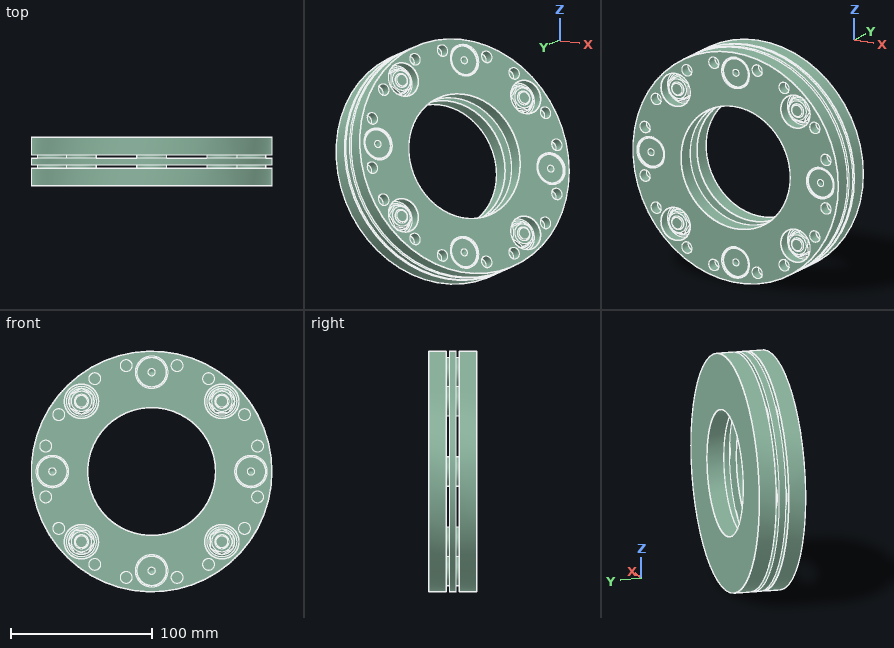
import cadquery as cq
import math

OUTER_DIA = 170.0
TOTAL_DEPTH = 34.3
MIDDLE_THICK = 5.0
GAP = 2.0
PLATE_THICK = (TOTAL_DEPTH - MIDDLE_THICK - 2 * GAP) / 2
PLATE_BORE = 90.0
EDGE_CHAMFER = 0.25
MIDDLE_BORE = 110.0

STATION_RADIUS = 70.0
STATION_COUNT = 4
STATION_STEP = 360.0 / STATION_COUNT
PIN_START_ANGLE = 0.0
BOLT_START_ANGLE = 45.0
PIN_DIA = 21.0

SEAT_DIA = 23.0
PIN_RECESS = 0.5
GROOVE_DEPTH = 1.5
CENTRE_MARK_DIA = 5.1
CENTRE_MARK_DEPTH = 1.0

POCKET_DIA = 24.0
POCKET_DEPTH = 8.8
WASHER_BASE_DIA = PIN_DIA
WASHER_TOP_DIA = 18.2
WASHER_HEIGHT = 0.8
NUT_SIDES = 6
NUT_FLATS = 16.0
NUT_FACE_DIA = 14.3
NUT_HEIGHT = 5.0
NUT_CHAMFER_ANGLE = 30.0
STUD_DIA = 10.0
STUD_TIP_DIA = 8.3
STUD_PROJECTION = 1.0

BLIND_HOLE_DIA = 8.3
BLIND_HOLE_DEPTH = 8.5
BLIND_HOLE_RADIUS = 76.8
BLIND_HOLE_SPREAD = 13.5

FRONT_Y = -TOTAL_DEPTH / 2
POCKET_FLOOR_Y = FRONT_Y + POCKET_DEPTH


def cylinder(dia, y_start, length):
    """Cylinder on the Y axis, growing toward +Y."""
    return cq.Workplane("XZ", origin=(0, y_start, 0)).circle(dia / 2).extrude(-length)


def cone(start_dia, end_dia, y_start, length):
    """Cone or frustum on the Y axis, growing toward +Y."""
    base = cq.Vector(0, y_start, 0)
    solid = cq.Solid.makeCone(start_dia / 2, end_dia / 2, length, base, cq.Vector(0, 1, 0))
    return cq.Workplane("XY").newObject([solid])


def ring(outer_dia, inner_dia, y_start, length):
    return cylinder(outer_dia, y_start, length).cut(cylinder(inner_dia, y_start, length))


def place(feature, radius, angle):
    """Move a feature off the Y axis to a polar position, turning it with the angle."""
    return feature.translate((radius, 0, 0)).rotate((0, 0, 0), (0, 1, 0), -angle)


def place_around(feature, radius, start_angle):
    copies = [place(feature, radius, start_angle + i * STATION_STEP) for i in range(STATION_COUNT)]
    combined = copies[0]
    for copy in copies[1:]:
        combined = combined.union(copy)
    return combined


def ring_stack():
    plate = ring(OUTER_DIA, PLATE_BORE, FRONT_Y, PLATE_THICK).edges("%CIRCLE").chamfer(EDGE_CHAMFER)
    back_plate = plate.mirror("XZ")
    middle = ring(OUTER_DIA, MIDDLE_BORE, -MIDDLE_THICK / 2, MIDDLE_THICK)
    spacer = cylinder(PIN_DIA, -MIDDLE_THICK / 2 - GAP, MIDDLE_THICK + 2 * GAP)
    stack = plate.union(back_plate).union(middle)
    for start_angle in (PIN_START_ANGLE, BOLT_START_ANGLE):
        stack = stack.union(place_around(spacer, STATION_RADIUS, start_angle))
    return stack


def pin_recess():
    pin_top = FRONT_Y + PIN_RECESS
    seat = cylinder(SEAT_DIA, FRONT_Y, GROOVE_DEPTH)
    head = cylinder(PIN_DIA, pin_top, GROOVE_DEPTH - PIN_RECESS).faces("<Y").chamfer(EDGE_CHAMFER)
    return seat.cut(head).union(cone(CENTRE_MARK_DIA, 0, pin_top, CENTRE_MARK_DEPTH))


def bolt_pocket():
    mouth = cone(POCKET_DIA + 2 * EDGE_CHAMFER, POCKET_DIA, FRONT_Y, EDGE_CHAMFER)
    return cylinder(POCKET_DIA, FRONT_Y, POCKET_DEPTH).union(mouth)


def bolt():
    washer_top = POCKET_FLOOR_Y - WASHER_HEIGHT
    nut_top = washer_top - NUT_HEIGHT
    stud_top = nut_top - STUD_PROJECTION

    washer = cone(WASHER_TOP_DIA, WASHER_BASE_DIA, washer_top, WASHER_HEIGHT)

    nut_corner_dia = NUT_FLATS / math.cos(math.pi / NUT_SIDES)
    nut = cq.Workplane("XZ", origin=(0, nut_top, 0)).polygon(NUT_SIDES, nut_corner_dia).extrude(-NUT_HEIGHT)
    nut = nut.rotate((0, 0, 0), (0, 1, 0), BOLT_START_ANGLE)
    taper_run = NUT_HEIGHT / math.tan(math.radians(NUT_CHAMFER_ANGLE))
    nut = nut.intersect(cone(NUT_FACE_DIA, NUT_FACE_DIA + 2 * taper_run, nut_top, NUT_HEIGHT))

    tip_chamfer = (STUD_DIA - STUD_TIP_DIA) / 2
    stud = cylinder(STUD_DIA, stud_top, STUD_PROJECTION).faces("<Y").chamfer(tip_chamfer)
    return washer.union(nut).union(stud)


result = ring_stack()
result = result.cut(place_around(pin_recess(), STATION_RADIUS, PIN_START_ANGLE))
result = result.cut(place_around(bolt_pocket(), STATION_RADIUS, BOLT_START_ANGLE))
result = result.union(place_around(bolt(), STATION_RADIUS, BOLT_START_ANGLE))
blind_hole = cylinder(BLIND_HOLE_DIA, FRONT_Y, BLIND_HOLE_DEPTH)
for station_angle in (PIN_START_ANGLE, BOLT_START_ANGLE):
    for offset in (-BLIND_HOLE_SPREAD, BLIND_HOLE_SPREAD):
        result = result.cut(place_around(blind_hole, BLIND_HOLE_RADIUS, station_angle + offset))